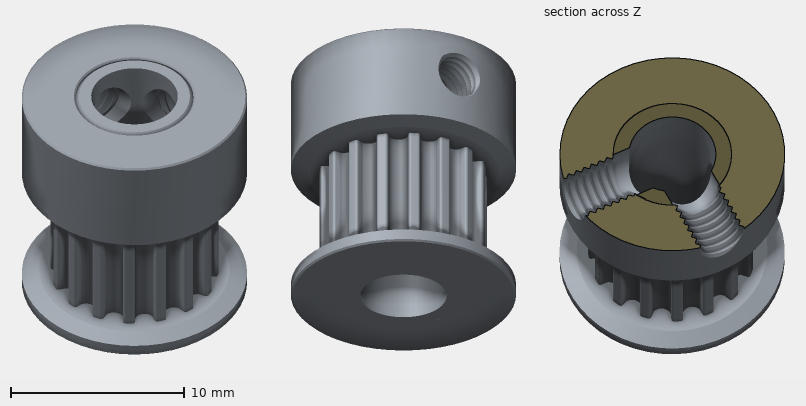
import cadquery as cq
import math

height = 14.1
outer_radius = 6.5
bore_radius = 2.5
edge_chamfer = 0.1

rim_flat_radius = 5.5
rim_rise = 0.28
flange_thickness = 1.02
hub_bottom = 8.08

neck_radius = 3.4
neck_chamfer = 0.2

tooth_count = 16
tooth_tip_radius = 4.85
groove_root_radius = 4.02
flank_foot_radius = 4.31
flank_foot_half_width = 0.51
groove_mouth_half_width = 0.62
tooth_tip_fillet = 0.15
tooth_turn = -0.6

screw_height = 11.5
screw_cut_length = outer_radius + 0.7
screw_directions = [90, 180]
thread_pitch = 0.5
thread_minor_radius = 1.3
thread_major_radius = 1.51
thread_groove_mouth = 0.92 * thread_pitch
thread_start = 2.62
thread_turns = 9
thread_length = thread_turns * thread_pitch
thread_overlap = 0.01


def revolved(points):
    """Solid of revolution about Z from (radius, height) points."""
    return cq.Workplane("XZ").polyline(points).close().revolve(360, (0, 0), (0, 1))


def aimed(shape, direction):
    """Lay a Z-axis cutter on its side, pointing outward at the set-screw height."""
    return (
        shape.rotate((0, 0, 0), (0, 1, 0), 90)
        .rotate((0, 0, 0), (0, 0, 1), direction)
        .translate((0, 0, screw_height))
    )


def screw_hole(radius):
    """Plain cylinder from the axis to beyond the outer surface."""
    return cq.Workplane("XY").circle(radius).extrude(screw_cut_length)


def thread_groove():
    """Helical V groove along Z, cut into the wall of a set-screw hole."""
    inner_radius = thread_minor_radius - thread_overlap
    flank_slope = thread_groove_mouth / 2 / (thread_major_radius - thread_minor_radius)
    inner_half_width = flank_slope * (thread_major_radius - inner_radius)
    helix = cq.Wire.makeHelix(thread_pitch, thread_length, thread_minor_radius)
    profile = cq.Workplane("XZ").polyline([
        (inner_radius, -inner_half_width),
        (thread_major_radius, 0),
        (inner_radius, inner_half_width),
    ]).close()
    groove = profile.sweep(cq.Workplane(obj=helix), isFrenet=True)
    return groove.translate((0, 0, thread_start))


def make_hub():
    """Collar with a belt-guiding lower face and two threaded holes."""
    hub = revolved([
        (neck_radius, hub_bottom),
        (rim_flat_radius, hub_bottom),
        (outer_radius, hub_bottom + rim_rise),
        (outer_radius, height - edge_chamfer),
        (outer_radius - edge_chamfer, height),
        (neck_radius + edge_chamfer, height),
        (neck_radius, height - edge_chamfer),
    ])
    threaded_hole = screw_hole(thread_minor_radius).union(thread_groove())
    for direction in screw_directions:
        hub = hub.cut(aimed(threaded_hole, direction))
    return hub


def tooth_groove(length):
    """Cutter for one belt groove, centred on X: a round root between two straight flanks."""
    flank_slope = (groove_mouth_half_width - flank_foot_half_width) / (tooth_tip_radius - flank_foot_radius)
    outer_half_width = groove_mouth_half_width + flank_slope * (outer_radius - tooth_tip_radius)
    return (
        cq.Workplane("XY")
        .moveTo(outer_radius, -outer_half_width)
        .lineTo(flank_foot_radius, -flank_foot_half_width)
        .threePointArc((groove_root_radius, 0), (flank_foot_radius, flank_foot_half_width))
        .lineTo(outer_radius, outer_half_width)
        .close()
        .extrude(length)
    )


def toothed_ring():
    """Solid drum of belt teeth between the flange and the hub."""
    length = hub_bottom - flange_thickness
    drum = cq.Workplane("XY").circle(tooth_tip_radius).extrude(length)
    groove = tooth_groove(length)
    for index in range(tooth_count):
        angle = (index + 0.5) * 360 / tooth_count + tooth_turn
        drum = drum.cut(groove.rotate((0, 0, 0), (0, 0, 1), angle))
    inside_tips = tooth_tip_radius - tooth_tip_fillet
    tip_edges = [
        edge for edge in drum.edges("|Z").vals()
        if math.hypot(edge.Center().x, edge.Center().y) > inside_tips
    ]
    drum = drum.newObject(tip_edges).fillet(tooth_tip_fillet)
    return drum.translate((0, 0, flange_thickness))


def make_sleeve():
    """Bored sleeve with the belt teeth and clearance for the set screws."""
    neck = revolved([
        (0, 0),
        (neck_radius, 0),
        (neck_radius, height - neck_chamfer),
        (neck_radius - neck_chamfer, height),
        (0, height),
    ])
    sleeve = neck.union(toothed_ring())
    sleeve = sleeve.cut(cq.Workplane("XY").circle(bore_radius).extrude(height))
    for direction in screw_directions:
        sleeve = sleeve.cut(aimed(screw_hole(thread_major_radius), direction))
    return sleeve


def make_flange():
    """Disc that guides the belt at the lower end."""
    return revolved([
        (neck_radius, 0),
        (outer_radius - edge_chamfer, 0),
        (outer_radius, edge_chamfer),
        (outer_radius, flange_thickness - rim_rise),
        (rim_flat_radius, flange_thickness),
        (neck_radius, flange_thickness),
    ])


hub = make_hub()
sleeve = make_sleeve()
flange = make_flange()

result = cq.Compound.makeCompound([hub.val(), sleeve.val(), flange.val()])